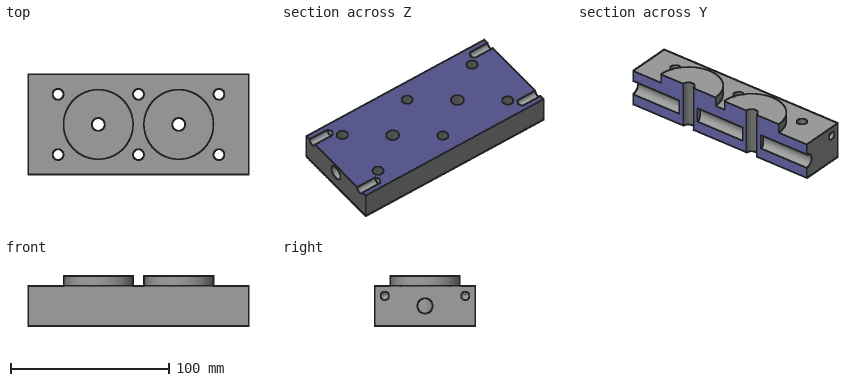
import cadquery as cq
import math

length = 139.7
width = 63.5
block_height = 25.4
total_height = 31.7

pad_diameter = 44.0
pad_bore_diameter = 8.0
pad_spacing = 50.9

mount_diameter = 6.7
mount_spacing_x = pad_spacing
mount_spacing_y = 38.1

channel_diameter = 9.6
channel_z = block_height / 2
post_diameter = 15.0

end_hole_diameter = 5.3
end_hole_spacing = 50.9
end_hole_z = 0.75 * block_height
end_hole_depth = 14.0
drill_tip_angle = 118.0

pad_centers = [(-pad_spacing / 2, 0), (pad_spacing / 2, 0)]


def vertical_cylinders(centers, diameter, bottom, top):
    return (
        cq.Workplane("XY", origin=(0, 0, bottom))
        .pushPoints(centers)
        .circle(diameter / 2)
        .extrude(top - bottom)
    )


def end_hole(side, y):
    """Drilled hole with a conical tip; side is -1 or 1 for the X end it enters."""
    radius = end_hole_diameter / 2
    tip_length = radius / math.tan(math.radians(drill_tip_angle / 2))
    entry_x = side * length / 2
    shoulder_x = entry_x - side * end_hole_depth
    tip_x = shoulder_x - side * tip_length
    return (
        cq.Workplane("XY", origin=(0, y, end_hole_z))
        .polyline([(entry_x, 0), (entry_x, radius), (shoulder_x, radius), (tip_x, 0)])
        .close()
        .revolve(360, (0, 0, 0), (1, 0, 0))
    )


result = cq.Workplane("XY").box(length, width, block_height, centered=(True, True, False))
channel = (
    cq.Workplane("YZ", origin=(-length / 2, 0, channel_z))
    .circle(channel_diameter / 2)
    .extrude(length)
)
result = result.cut(channel)

result = result.union(vertical_cylinders(pad_centers, post_diameter, 0, block_height))
result = result.union(vertical_cylinders(pad_centers, pad_diameter, block_height, total_height))

result = result.cut(vertical_cylinders(pad_centers, pad_bore_diameter, 0, total_height))
mount_centers = [
    (column * mount_spacing_x, row * mount_spacing_y / 2)
    for column in (-1, 0, 1)
    for row in (-1, 1)
]
result = result.cut(vertical_cylinders(mount_centers, mount_diameter, 0, block_height))

for end_side in (-1, 1):
    for row_side in (-1, 1):
        result = result.cut(end_hole(end_side, row_side * end_hole_spacing / 2))